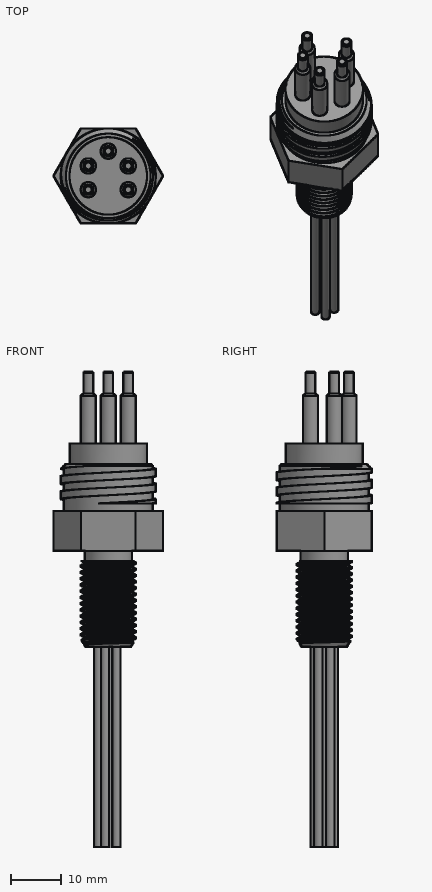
import cadquery as cq
import math

TOTAL_HEIGHT = 95.0
WIRE_LENGTH = 40.0
STEM_LENGTH = 19.2
HEX_HEIGHT = 8.0
BODY_HEIGHT = 9.4
COLLAR_HEIGHT = 4.1

STEM_TOP = WIRE_LENGTH + STEM_LENGTH
HEX_TOP = STEM_TOP + HEX_HEIGHT
BODY_TOP = HEX_TOP + BODY_HEIGHT
COLLAR_TOP = BODY_TOP + COLLAR_HEIGHT

HEX_ACROSS_FLATS = 19.0
HEX_SIDES = 6
HEX_ACROSS_CORNERS = HEX_ACROSS_FLATS / math.cos(math.pi / HEX_SIDES)
BODY_DIAMETER = 17.9
BODY_TOP_DIAMETER = 16.9
COLLAR_DIAMETER = 15.5

BODY_THREAD_DIAMETER = HEX_ACROSS_FLATS
BODY_THREAD_PITCH = 3.0
BODY_TOOTH_WIDTH = BODY_THREAD_PITCH / 2
BODY_FLANK_ANGLE = 0.0
BODY_THREAD_RELIEF = 1.5
BODY_THREAD_OFFSET = 1.7

NECK_DIAMETER = 9.5
NECK_LENGTH = 2.0
STEM_CORE_DIAMETER = 9.7
STEM_THREAD_DIAMETER = 11.0
STEM_THREAD_LENGTH = STEM_LENGTH - NECK_LENGTH
STEM_THREAD_TURNS = 13.8
STEM_THREAD_PITCH = STEM_THREAD_LENGTH / STEM_THREAD_TURNS
STEM_THREAD_OFFSET = 0.43
STEM_CREST_WIDTH = 0.2
STEM_END_DIAMETER = 9.0
STEM_CHAMFER_HEIGHT = 1.6
STEM_FLANK_ANGLE = 30.0

PIN_DIAMETER = 3.0
PIN_TIP_DIAMETER = 2.0
PIN_TIP_LENGTH = 4.4
PIN_SHOULDER_HEIGHT = 0.5
PIN_TIP_CHAMFER = 0.3
PIN_SIDE_X = 4.0
PIN_POSITIONS = [
    (0, 4.9),
    (PIN_SIDE_X, 2.0),
    (PIN_SIDE_X, -2.8),
    (-PIN_SIDE_X, -2.8),
    (-PIN_SIDE_X, 2.0),
]

WIRE_DIAMETER = 1.7
WIRE_COUNT = 5
WIRE_CIRCLE_RADIUS = 2.0

OVERLAP = 0.2
CLEARANCE = 0.95


def cylinder(diameter, bottom, top):
    return cq.Workplane("XY").workplane(offset=bottom).circle(diameter / 2).extrude(top - bottom)


def revolved(outline):
    """Solid of revolution about Z from (radius, height) points."""
    return cq.Workplane("XZ").polyline(outline).close().revolve(360, (0, 0, 0), (0, 1, 0))


def helical_tooth(core_diameter, major_diameter, pitch, crest_width, flank_angle, bottom, top, center_z):
    """Right-hand ridge that runs past bottom and top, with a tooth centred at center_z on the +X side."""
    start_z = center_z - pitch * math.ceil((center_z - bottom) / pitch + 1)
    turns = math.ceil((top - start_z) / pitch + 1)
    crest_radius = major_diameter / 2
    root_radius = core_diameter / 2 - OVERLAP
    half_crest = crest_width / 2
    half_root = half_crest + (crest_radius - root_radius) * math.tan(math.radians(flank_angle))
    helix = cq.Wire.makeHelix(pitch, turns * pitch, core_diameter / 2)
    tooth = (
        cq.Workplane("XZ")
        .polyline([
            (root_radius, -half_root),
            (crest_radius, -half_crest),
            (crest_radius, half_crest),
            (root_radius, half_root),
        ])
        .close()
        .sweep(cq.Workplane(obj=helix), isFrenet=True)
    )
    return tooth.translate((0, 0, start_z))


def threaded_body():
    """Coarse-threaded cylinder whose thread shares the 45 degree chamfer of the top rim."""
    rim_radius = BODY_TOP_DIAMETER / 2
    outer_radius = BODY_THREAD_DIAMETER / 2 + CLEARANCE
    thread_bottom = HEX_TOP + BODY_THREAD_RELIEF
    core = cylinder(BODY_DIAMETER, HEX_TOP, BODY_TOP)
    tooth = helical_tooth(
        BODY_DIAMETER, BODY_THREAD_DIAMETER, BODY_THREAD_PITCH, BODY_TOOTH_WIDTH, BODY_FLANK_ANGLE,
        thread_bottom, BODY_TOP, BODY_TOP - BODY_THREAD_OFFSET,
    )
    threaded = core.union(tooth.intersect(cylinder(2 * outer_radius, thread_bottom, BODY_TOP)))
    chamfered_envelope = revolved([
        (0, HEX_TOP),
        (outer_radius, HEX_TOP),
        (outer_radius, BODY_TOP - (outer_radius - rim_radius)),
        (rim_radius, BODY_TOP),
        (0, BODY_TOP),
    ])
    return threaded.intersect(chamfered_envelope)


def threaded_stem():
    """Plain neck above a fine-threaded stem that tapers at its lower end."""
    end_radius = STEM_END_DIAMETER / 2
    neck_radius = NECK_DIAMETER / 2
    core_radius = STEM_CORE_DIAMETER / 2
    major_radius = STEM_THREAD_DIAMETER / 2
    outer_radius = major_radius + CLEARANCE
    chamfer_slope = STEM_CHAMFER_HEIGHT / (major_radius - end_radius)
    thread_top = WIRE_LENGTH + STEM_THREAD_LENGTH
    envelope = revolved([
        (0, WIRE_LENGTH),
        (end_radius, WIRE_LENGTH),
        (outer_radius, WIRE_LENGTH + chamfer_slope * (outer_radius - end_radius)),
        (outer_radius, thread_top),
        (0, thread_top),
    ])
    core = revolved([
        (0, WIRE_LENGTH),
        (end_radius, WIRE_LENGTH),
        (core_radius, WIRE_LENGTH + chamfer_slope * (core_radius - end_radius)),
        (core_radius, thread_top),
        (neck_radius, thread_top),
        (neck_radius, STEM_TOP),
        (0, STEM_TOP),
    ])
    tooth = helical_tooth(
        STEM_CORE_DIAMETER, STEM_THREAD_DIAMETER, STEM_THREAD_PITCH, STEM_CREST_WIDTH,
        STEM_FLANK_ANGLE, WIRE_LENGTH, thread_top, thread_top - STEM_THREAD_OFFSET,
    )
    return core.union(tooth.intersect(envelope))


def pin():
    """Stepped contact pin with a conical shoulder and a chamfered tip."""
    radius = PIN_DIAMETER / 2
    tip_radius = PIN_TIP_DIAMETER / 2
    shoulder_top = TOTAL_HEIGHT - PIN_TIP_LENGTH
    return revolved([
        (0, COLLAR_TOP - OVERLAP),
        (radius, COLLAR_TOP - OVERLAP),
        (radius, shoulder_top - PIN_SHOULDER_HEIGHT),
        (tip_radius, shoulder_top),
        (tip_radius, TOTAL_HEIGHT - PIN_TIP_CHAMFER),
        (tip_radius - PIN_TIP_CHAMFER, TOTAL_HEIGHT),
        (0, TOTAL_HEIGHT),
    ])


def wires():
    """Ring of straight wires, one of them on the -X side."""
    return (
        cq.Workplane("XY")
        .polarArray(WIRE_CIRCLE_RADIUS, 180, 360, WIRE_COUNT)
        .circle(WIRE_DIAMETER / 2)
        .extrude(WIRE_LENGTH + OVERLAP)
    )


hexagon = (
    cq.Workplane("XY")
    .workplane(offset=STEM_TOP)
    .polygon(HEX_SIDES, HEX_ACROSS_CORNERS)
    .extrude(HEX_HEIGHT)
)
collar = cylinder(COLLAR_DIAMETER, BODY_TOP, COLLAR_TOP)

result = hexagon.union(threaded_body()).union(collar).union(threaded_stem()).union(wires())
for x, y in PIN_POSITIONS:
    result = result.union(pin().translate((x, y, 0)))